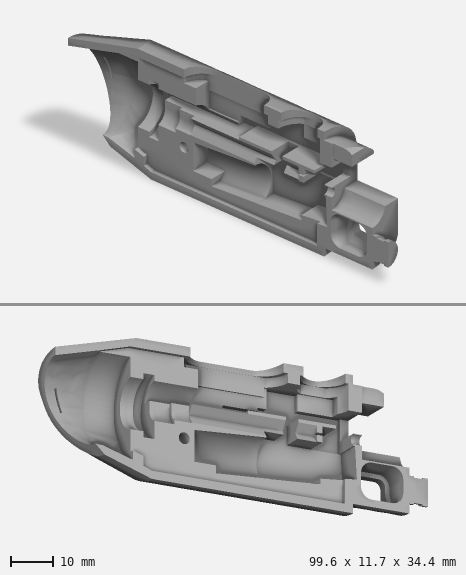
import cadquery as cq
import math


LENGTH = 99.56
HEIGHT = 34.41
DEPTH = 11.7
BODY_END_X = 79.6
CORNER_HEIGHT = 8.6
RIM = 2.35
MARGIN = 1.0
TOUCHING = 1e-6

NOSE_TOP_Z = 28.8
NOSE_LIP_Z = 26.7
NOSE_BASE_Z = 8.3
NOSE_DEPTH = 10.4
NOSE_SIDE_SLOPE = 0.1
NOSE_TOP_SLOPE = 0.259
NOSE_BOTTOM_END_X = 25.85
NOSE_BASE_CORNER = 9.5
NOSE_TOP_CORNER = 8.5
NOSE_TOP_CORNER_REAR = 6.0
MOUTH_MID = (3.65, 15.7)
MOUTH_END = (10.35, 6.8)
CHIN = (13.2, 4.05)
CAVITY_DEPTH = 8.45
CAVITY_BASE_Z = 7.0
CAVITY_KNEE_X = 12.65
CAVITY_KNEE_DEPTH = 9.6
CAVITY_KNEE_TOP_Z = 30.0
CAVITY_KNEE_BASE_Z = 6.3
CAVITY_END_X = 20.75
CHIN_RELIEF_TOP_Z = 27.0
CHIN_RELIEF_START_DEPTH = 6.0
CHIN_RELIEF_END_DEPTH = 8.1
CHIN_RELIEF_END_Z = 3.95
SLIT_CENTRE = (5.35, 18.75)
SLIT_SIZE = (0.6, 5.9)
SLIT_TILT = 20.0

SHELF_Y = 1.2
BUTTON_POCKET_Y = 5.65
END_OPENING_Y = 6.8
CHAMBER_Y = 7.9
BATTERY_Y = 7.2
BUTTON_CHAMBER_Y = 6.2

SHELF_TOP_Z = HEIGHT - RIM
SHELF_BASE_Z = 2.05
SHELF_END_X = 77.45
SHELF_START_X = 20.1
CHIN_STEP_X = 23.6
CHIN_STEP_Z = (2.9, 5.4)

AXIS_Z = 18.45
BARREL_RADIUS = 6.6
RING_RADIUS = 8.05
RING_START_X = 24.25
RING_END_X = 27.1
LEDGE_Z = 20.75
STEP_X = 32.45
STEM_END_X = 37.15
COLLAR_RADIUS = 3.65
STEM_RADIUS = 5.3 / 2
VEE_HALF_HEIGHT = LEDGE_Z - AXIS_Z
VEE_DEPTH = 1.6
VEE_END_X = 70.6

CHAMBER_START_X = 47.95
CHAMBER_END_X = 79.7
WALL_STEP_1 = (57.35, 23.7)
WALL_STEP_2 = (59.75, 24.55)
WALL_BASE_Z = 21.9
BLOCK_TOP_Z = 21.6
BLOCK_1_START_X = 52.2
BLOCK_1_END_X = 62.25
BLOCK_2_START_X = 65.65
BLOCK_2_END_X = 72.1
BLOCK_2_HOOK_X = 75.6
BLOCK_BASE_Z = 16.8
END_OPENING_TOP_Z = 25.4
END_OPENING_BASE_Z = 19.9
CORD_RADIUS = 1.25
CORD_SLOT_HEIGHT = 0.6

BATTERY_TILT = 3.5
BATTERY_RADIUS = 5.6
BATTERY_START = (37.85, 8.85)
BATTERY_END_X = 58.3
BATTERY_STEP_X = 43.6
BATTERY_STEP_Z = 6.55
BATTERY_FLOOR_DROP = 4.6
BATTERY_LIP = (56.75, 17.4)
BATTERY_FRONT_TOP = (57.1, 15.55)
BATTERY_FRONT_BASE = (57.7, 5.4)
BATTERY_FLOOR_STEP_X = 71.5
BATTERY_FLOOR_STEP_Z = (6.3, 7.7)
BATTERY_REAR_BASE = (80.6, 8.55)
BATTERY_REAR_TOP_X = 80.1

BUTTON_RADIUS = 5.6
BUTTON_1_X = (41.7, 55.4)
BUTTON_2_X = 71.9
BUTTON_CLEARANCE_1 = 1.2
BUTTON_CLEARANCE_2 = 0.9
BUTTON_FLOOR_Z = 29.65
BUTTON_1_PAD = (38.75, 58.85, 27.3)
BUTTON_2_CHAMBER_START_X = 68.1
BUTTON_2_CHAMBER_END_X = 77.35

TENON_END_X = 81.95
LUG_END_X = 94.6
LUG_TOP_Z = 17.7
SADDLE_RADIUS = 4.7
TAB_END_X = 88.0
TAB_BASE_Z = 27.9
TAB_DEPTH = 8.3
TAB_RELIEF = 0.3
TAB_ROUND_LENGTH = 2.75
TAB_ROUND_DROP = 0.9
WINDOW_CENTRE = (87.35, 8.8)
WINDOW_SIZE = (9.0, 6.9)
WINDOW_ROUND = 1.8
WINDOW_LEDGE = 1.15
LEDGE_DEPTH = 7.0
LEDGE_BASE_Z = 3.5
LEDGE_CURVE_Z = 9.9
PIN_Z = 8.3
PIN_RADIUS = 3.5
PIN_NECK_RADIUS = 3.15
PIN_NECK_X = (95.9, 98.2)

SCREW_HOLE_DIAMETER = 2.9
SCREW_HOLE = (35.1, 11.95)


def box(x0, x1, y0, y1, z0, z1):
    return cq.Workplane("XY").box(x1 - x0, y1 - y0, z1 - z0, centered=False).translate((x0, y0, z0))


def plate(points, y0, y1):
    """Prism along Y whose outline is given as (x, z) points."""
    return cq.Workplane("XZ", origin=(0, y0, 0)).polyline(points).close().extrude(y0 - y1)


def rod(x0, x1, z, radius):
    """Cylinder along X with its axis on the split plane."""
    return cq.Workplane("YZ", origin=(x0, 0, 0)).center(0, z).circle(radius).extrude(x1 - x0)


def section(x, base_z, top_z, depth, base_corner, top_corner):
    """Wire at x: lower and upper half ellipse joined by straight sides."""
    low = base_z + base_corner
    high = top_z - top_corner

    def half_ellipse(centre_z, corner, start):
        centre = cq.Vector(x, 0, centre_z)
        along_x = cq.Vector(1, 0, 0)
        along_y = cq.Vector(0, 1, 0)
        if corner > depth:
            return cq.Edge.makeEllipse(
                corner, depth, centre, along_x, cq.Vector(0, 0, 1), start - 90, start + 90
            )
        return cq.Edge.makeEllipse(depth, corner, centre, along_x, along_y, start, start + 180)

    edges = [half_ellipse(high, top_corner, 0)]
    if high - low > TOUCHING:
        edges.append(cq.Edge.makeLine(cq.Vector(x, -depth, high), cq.Vector(x, -depth, low)))
    edges.append(half_ellipse(low, base_corner, 180))
    if high - low > TOUCHING:
        edges.append(cq.Edge.makeLine(cq.Vector(x, depth, low), cq.Vector(x, depth, high)))
    return cq.Wire.assembleEdges(edges)


def ellipse_section(x, base_z, top_z, depth):
    corner = (top_z - base_z) / 2
    return section(x, base_z, top_z, depth, corner, corner)


def loft(*wires):
    return cq.Workplane(obj=cq.Solid.makeLoft(list(wires), True))


def shell_prism(x0, x1, inset):
    """Shell cross-section, moved inward by inset, run from x0 to x1."""
    corner = CORNER_HEIGHT - inset
    size = (inset, HEIGHT - inset, DEPTH - inset, corner, corner)
    return loft(section(x0, *size), section(x1, *size))


def make_body():
    run = NOSE_BOTTOM_END_X
    rear_top_z = NOSE_TOP_Z + NOSE_TOP_SLOPE * run
    rear_depth = NOSE_DEPTH + NOSE_SIDE_SLOPE * run
    taper = loft(
        section(0, NOSE_BASE_Z, NOSE_TOP_Z, NOSE_DEPTH, NOSE_BASE_CORNER, NOSE_TOP_CORNER),
        section(run, 0, rear_top_z, rear_depth, NOSE_BASE_CORNER, NOSE_TOP_CORNER_REAR),
    )
    nose = taper.intersect(shell_prism(0, run, 0))
    mouth = (
        cq.Workplane("XZ", origin=(0, -MARGIN, 0))
        .moveTo(-MARGIN, NOSE_LIP_Z)
        .lineTo(0, NOSE_LIP_Z)
        .threePointArc(MOUTH_MID, MOUTH_END)
        .lineTo(*CHIN)
        .lineTo(CHIN[0], -MARGIN)
        .lineTo(-MARGIN, -MARGIN)
        .close()
        .extrude(-DEPTH - 2 * MARGIN)
    )
    return nose.cut(mouth).union(shell_prism(run, BODY_END_X, 0))


def tab_block():
    """Tab with a rounded upper end, tangent to its flat top."""
    start_x = TENON_END_X - MARGIN
    top_z = HEIGHT - RIM
    round_x = TAB_END_X - TAB_ROUND_LENGTH
    return (
        cq.Workplane("XZ", origin=(0, TAB_RELIEF, 0))
        .moveTo(start_x, TAB_BASE_Z)
        .lineTo(start_x, top_z)
        .lineTo(round_x, top_z)
        .tangentArcPoint((TAB_END_X, top_z - TAB_ROUND_DROP), relative=False)
        .lineTo(TAB_END_X, TAB_BASE_Z)
        .close()
        .extrude(TAB_RELIEF - TAB_DEPTH)
    )


def make_rear_end():
    tenon = shell_prism(BODY_END_X - MARGIN, TENON_END_X, RIM)
    rail = shell_prism(TENON_END_X - MARGIN, LUG_END_X, RIM)
    lug = rail.intersect(box(0, LENGTH, 0, DEPTH, 0, LUG_TOP_Z))
    lug = lug.cut(rod(TENON_END_X, LENGTH, AXIS_Z, SADDLE_RADIUS))
    tab = rail.intersect(tab_block())
    neck_start, neck_end = PIN_NECK_X
    pin = rod(LUG_END_X - MARGIN, neck_start, PIN_Z, PIN_RADIUS)
    pin = pin.union(rod(neck_start, neck_end, PIN_Z, PIN_NECK_RADIUS))
    pin = pin.union(rod(neck_end, LENGTH, PIN_Z, PIN_RADIUS))
    return tenon.union(lug).union(tab).union(pin)


def window():
    """Rounded opening through the lug, inside a recess whose floor follows the curve of the lug."""
    width, height = WINDOW_SIZE

    def rounded_prism(growth):
        prism = cq.Workplane("XZ").center(*WINDOW_CENTRE)
        prism = prism.rect(width + 2 * growth, height + 2 * growth).extrude(-DEPTH)
        return prism.edges("|Y").fillet(WINDOW_ROUND + growth)

    corner = LEDGE_CURVE_Z - LEDGE_BASE_Z
    floor_size = (LEDGE_BASE_Z, HEIGHT, LEDGE_DEPTH, corner, corner)
    floor = loft(section(BODY_END_X, *floor_size), section(LENGTH, *floor_size))
    recess = rounded_prism(WINDOW_LEDGE).intersect(floor)
    return rounded_prism(0).union(recess)


def nose_cavity():
    knee_size = (CAVITY_KNEE_BASE_Z, CAVITY_KNEE_TOP_Z, CAVITY_KNEE_DEPTH)
    mouth = ellipse_section(0, CAVITY_BASE_Z, NOSE_LIP_Z, CAVITY_DEPTH)
    knee = ellipse_section(CAVITY_KNEE_X, *knee_size)
    end = ellipse_section(CAVITY_END_X, *knee_size)
    chin_relief = loft(
        ellipse_section(CAVITY_KNEE_X, CAVITY_KNEE_BASE_Z, CHIN_RELIEF_TOP_Z, CHIN_RELIEF_START_DEPTH),
        ellipse_section(CAVITY_END_X, CHIN_RELIEF_END_Z, CHIN_RELIEF_TOP_Z, CHIN_RELIEF_END_DEPTH),
    )
    return loft(mouth, knee).union(loft(knee, end)).union(chin_relief)


def nose_slit():
    width, height = SLIT_SIZE
    return (
        cq.Workplane("XZ").center(*SLIT_CENTRE)
        .transformed(rotate=(0, 0, SLIT_TILT))
        .rect(width, height).extrude(-DEPTH)
    )


def shelf():
    outline = [
        (CAVITY_KNEE_X, CAVITY_KNEE_TOP_Z),
        (SHELF_START_X, SHELF_TOP_Z),
        (BUTTON_1_PAD[1], SHELF_TOP_Z),
        (BUTTON_1_PAD[1], BUTTON_FLOOR_Z),
        (BUTTON_2_CHAMBER_START_X, BUTTON_FLOOR_Z),
        (BUTTON_2_CHAMBER_START_X, END_OPENING_TOP_Z),
        (SHELF_END_X, END_OPENING_TOP_Z),
        (SHELF_END_X, SHELF_BASE_Z),
        (NOSE_BOTTOM_END_X, SHELF_BASE_Z),
        (CHIN_STEP_X, CHIN_STEP_Z[0]),
        (CHIN_STEP_X, CHIN_STEP_Z[1]),
        (CAVITY_END_X, CAVITY_KNEE_BASE_Z),
    ]
    return plate(outline, -MARGIN, SHELF_Y)


def axial_slot(x0, x1, radius):
    """U-shaped channel: half round below the axis, straight up to the ledge."""
    lower = rod(x0, x1, AXIS_Z, radius).intersect(box(x0, x1, 0, radius, 0, AXIS_Z))
    return lower.union(box(x0, x1, 0, radius, AXIS_Z, LEDGE_Z))


def barrel_channel():
    bore = rod(CAVITY_END_X, RING_END_X, AXIS_Z, BARREL_RADIUS)
    ring = rod(RING_START_X, RING_END_X, AXIS_Z, RING_RADIUS)
    upper = rod(RING_END_X, CHAMBER_START_X, AXIS_Z, BARREL_RADIUS)
    upper = upper.intersect(box(0, LENGTH, -DEPTH, DEPTH, LEDGE_Z, HEIGHT))
    collar = axial_slot(RING_END_X, STEP_X, COLLAR_RADIUS)
    stem = axial_slot(STEP_X, STEM_END_X, STEM_RADIUS)
    vee = (
        cq.Workplane("YZ", origin=(STEM_END_X, 0, 0))
        .moveTo(SHELF_Y, AXIS_Z + VEE_HALF_HEIGHT)
        .lineTo(SHELF_Y + VEE_DEPTH, AXIS_Z)
        .lineTo(SHELF_Y, AXIS_Z - VEE_HALF_HEIGHT)
        .close()
        .extrude(VEE_END_X - STEM_END_X)
    )
    cord = box(VEE_END_X, BLOCK_2_END_X, 0, SHELF_Y + VEE_DEPTH, AXIS_Z, AXIS_Z + CORD_SLOT_HEIGHT)
    return bore.union(ring).union(upper).union(collar).union(stem).union(vee).union(cord)


def stepped_wall(start_x, start_z, end_z):
    """Points of the stepped wall between the chamber and the long button well."""
    return [
        (start_x, start_z),
        (start_x, WALL_STEP_1[1]),
        WALL_STEP_1,
        (WALL_STEP_1[0], WALL_STEP_2[1]),
        WALL_STEP_2,
        (WALL_STEP_2[0], end_z),
    ]


def chamber():
    upper = stepped_wall(CHAMBER_START_X, LEDGE_Z, BUTTON_FLOOR_Z) + [
        (BUTTON_2_CHAMBER_START_X, BUTTON_FLOOR_Z),
        (BUTTON_2_CHAMBER_START_X, END_OPENING_TOP_Z),
        (CHAMBER_END_X, END_OPENING_TOP_Z),
        (CHAMBER_END_X, BLOCK_BASE_Z),
        (BLOCK_2_END_X, BLOCK_BASE_Z),
        (BLOCK_2_END_X, LEDGE_Z),
        (BLOCK_2_HOOK_X, LEDGE_Z),
        (BLOCK_2_HOOK_X, BLOCK_TOP_Z),
        (BLOCK_1_START_X, BLOCK_TOP_Z),
        (BLOCK_1_START_X, LEDGE_Z),
    ]
    lower = [
        BATTERY_LIP,
        (BLOCK_1_END_X, BATTERY_LIP[1]),
        (BLOCK_1_END_X, BLOCK_TOP_Z),
        (BLOCK_2_START_X, BLOCK_TOP_Z),
        (BLOCK_2_START_X, BLOCK_BASE_Z),
        (BATTERY_REAR_TOP_X, BLOCK_BASE_Z),
        BATTERY_REAR_BASE,
        (BATTERY_FLOOR_STEP_X, BATTERY_FLOOR_STEP_Z[1]),
        (BATTERY_FLOOR_STEP_X, BATTERY_FLOOR_STEP_Z[0]),
        BATTERY_FRONT_BASE,
        BATTERY_FRONT_TOP,
    ]
    opening = box(CHAMBER_END_X, TENON_END_X, -MARGIN, END_OPENING_Y, END_OPENING_BASE_Z, END_OPENING_TOP_Z)
    cord = rod(CHAMBER_END_X, TENON_END_X, AXIS_Z, CORD_RADIUS)
    space = plate(upper, -MARGIN, CHAMBER_Y).union(plate(lower, -MARGIN, BATTERY_Y))
    return space.union(opening).union(cord)


def battery_pocket():
    start_x, axis_z = BATTERY_START
    length = BATTERY_END_X - start_x
    slope = math.tan(math.radians(BATTERY_TILT))
    reach = BATTERY_RADIUS + MARGIN
    cylinder = (
        cq.Workplane("YZ").circle(BATTERY_RADIUS).extrude(length + 2 * MARGIN)
        .translate((-MARGIN, 0, 0))
        .rotate((0, 0, 0), (0, 1, 0), -BATTERY_TILT)
        .translate((start_x, SHELF_Y, axis_z))
    )
    floor_z = axis_z - BATTERY_FLOOR_DROP
    end_x = BATTERY_END_X
    limits = [
        (start_x, BATTERY_STEP_Z),
        (BATTERY_STEP_X, BATTERY_STEP_Z),
        (BATTERY_STEP_X, floor_z + slope * (BATTERY_STEP_X - start_x)),
        (end_x, floor_z + slope * length),
        (end_x, axis_z + reach + slope * length),
        (start_x, axis_z + reach),
    ]
    return cylinder.intersect(plate(limits, 0, DEPTH))


def obround(x_range, radius, z0, z1):
    """Upright prism with round ends centred on the split plane at both ends of x_range."""
    start_x, end_x = x_range
    shape = cq.Workplane("XY", origin=(start_x, 0, z0)).circle(radius).extrude(z1 - z0)
    if end_x > start_x:
        shape = shape.union(shape.translate((end_x - start_x, 0, 0)))
        shape = shape.union(box(start_x, end_x, -radius, radius, z0, z1))
    return shape


def button_opening(x_range, clearance):
    """Opening through the shell with a wider, flat-backed recess under the rim."""
    opening = obround(x_range, BUTTON_RADIUS, SHELF_TOP_Z, HEIGHT + MARGIN)
    recess = obround(x_range, BUTTON_RADIUS + clearance, BUTTON_FLOOR_Z, SHELF_TOP_Z)
    return opening.union(recess.intersect(box(0, LENGTH, -DEPTH, BUTTON_POCKET_Y, 0, HEIGHT)))


def long_button():
    pad_start, pad_end, pad_base = BUTTON_1_PAD
    pad = box(pad_start, pad_end, -MARGIN, BUTTON_POCKET_Y, pad_base, SHELF_TOP_Z)
    well = [
        (pad_end, BUTTON_FLOOR_Z),
        (pad_end, pad_base),
        (pad_start, pad_base),
        (pad_start, WALL_BASE_Z),
        (CHAMBER_START_X, WALL_BASE_Z),
    ] + stepped_wall(CHAMBER_START_X, WALL_STEP_1[1], BUTTON_FLOOR_Z)[1:]
    opening = button_opening(BUTTON_1_X, BUTTON_CLEARANCE_1)
    return opening.union(pad).union(plate(well, -MARGIN, BUTTON_CHAMBER_Y))


def round_button():
    centre = (BUTTON_2_X, BUTTON_2_X)
    radius = BUTTON_RADIUS + BUTTON_CLEARANCE_2
    well = obround(centre, radius, END_OPENING_TOP_Z, BUTTON_FLOOR_Z)
    well = well.intersect(box(BUTTON_2_X, LENGTH, -DEPTH, BUTTON_POCKET_Y, 0, HEIGHT))
    deep_well = box(
        BUTTON_2_CHAMBER_START_X, BUTTON_2_CHAMBER_END_X,
        -MARGIN, BUTTON_CHAMBER_Y,
        END_OPENING_TOP_Z, BUTTON_FLOOR_Z,
    )
    return button_opening(centre, BUTTON_CLEARANCE_2).union(well).union(deep_well)


def screw_hole():
    return cq.Workplane("XZ").center(*SCREW_HOLE).circle(SCREW_HOLE_DIAMETER / 2).extrude(-DEPTH - MARGIN)


result = make_body().union(make_rear_end())
result = result.intersect(box(0, LENGTH, 0, DEPTH, 0, HEIGHT))
cutters = [
    nose_cavity(),
    nose_slit(),
    shelf(),
    barrel_channel(),
    chamber(),
    battery_pocket(),
    long_button(),
    round_button(),
    window(),
    screw_hole(),
]
for cutter in cutters:
    result = result.cut(cutter)